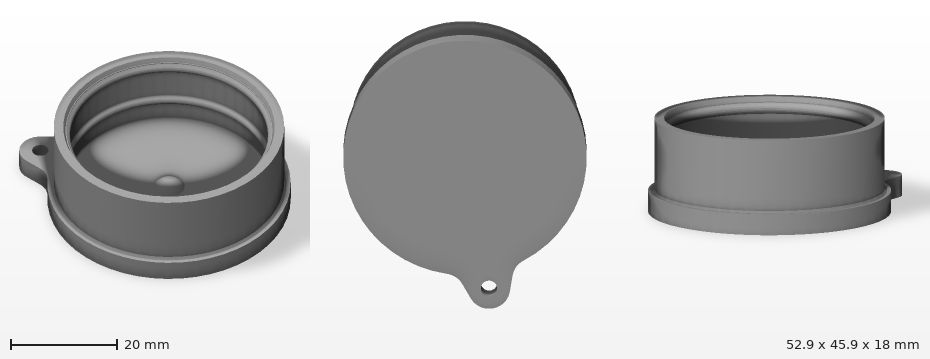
import cadquery as cq
import math

overall_length = 52.9
overall_height = 18.0

flange_radius = 22.95
flange_height = 4.0
lug_radius = 3.95
lug_hole_radius = 1.55
lug_flank_angle = 19.5
lug_blend_radius = 3.95
lug_x = flange_radius - overall_length + lug_radius

wall_outer_radius = 21.75
wall_foot_chamfer = 0.4
bore_radius = 19.35
floor_z = 3.1
floor_fillet = 0.4

mouth_radius = 19.95
mouth_taper_radius = 19.55
mouth_taper_depth = 0.9
bead_radius = 18.7
bead_nose_height = 0.75
bead_nose_fillet = 0.55
bead_root_fillet = 0.35
bead_depth = bore_radius - bead_radius
lower_bead_z = 7.95
upper_bead_top = overall_height - mouth_taper_depth
upper_bead_z = upper_bead_top - (mouth_taper_radius - bead_radius) - bead_nose_height / 2

dome_base_radius = 2.95
dome_height = 1.25


def make_flange_and_lug():
    angle = math.radians(lug_flank_angle)
    tangent_x = lug_x - lug_radius * math.sin(angle)
    tangent_y = lug_radius * math.cos(angle)
    root_y = tangent_y - tangent_x * math.tan(angle)
    disc = cq.Workplane("XY").circle(flange_radius).extrude(flange_height)
    lug = (
        cq.Workplane("XY")
        .moveTo(0, -root_y)
        .lineTo(tangent_x, -tangent_y)
        .threePointArc((lug_x - lug_radius, 0), (tangent_x, tangent_y))
        .lineTo(0, root_y)
        .close()
        .extrude(flange_height)
    )
    corners = cq.selectors.BoxSelector(
        (lug_x + lug_radius / 2, -flange_radius / 2, 0),
        (-flange_radius / 2, flange_radius / 2, flange_height),
    )
    body = disc.union(lug).edges("|Z").edges(corners).fillet(lug_blend_radius)
    hole = cq.Workplane("XY").center(lug_x, 0).circle(lug_hole_radius).extrude(flange_height)
    return body.cut(hole)


def make_wall():
    foot_radius = wall_outer_radius + wall_foot_chamfer
    return (
        cq.Workplane("XZ")
        .moveTo(0, 0)
        .lineTo(foot_radius, 0)
        .lineTo(foot_radius, flange_height)
        .lineTo(wall_outer_radius, flange_height + wall_foot_chamfer)
        .lineTo(wall_outer_radius, overall_height)
        .lineTo(0, overall_height)
        .close()
        .revolve(360, (0, 0, 0), (0, 1, 0))
    )


def make_cavity():
    """Bore with a filleted floor and a tapered mouth; the beads are added later."""
    bore = (
        cq.Workplane("XY", origin=(0, 0, floor_z))
        .circle(bore_radius)
        .extrude(overall_height - floor_z)
        .faces("<Z")
        .edges()
        .fillet(floor_fillet)
    )
    mouth = (
        cq.Workplane("XZ")
        .moveTo(0, upper_bead_top)
        .lineTo(mouth_taper_radius, upper_bead_top)
        .lineTo(mouth_radius, overall_height)
        .lineTo(0, overall_height)
        .close()
        .revolve(360, (0, 0, 0), (0, 1, 0))
    )
    return bore.union(mouth)


def make_bead(mid_z, top_radius):
    """Ring with 45 degree flanks; the upper flank runs out to top_radius."""
    root_radius = (bore_radius + wall_outer_radius) / 2
    nose_top = mid_z + bead_nose_height / 2
    nose_bottom = mid_z - bead_nose_height / 2
    top_z = nose_top + top_radius - bead_radius
    bottom_z = nose_bottom - bead_depth
    return (
        cq.Workplane("XZ")
        .moveTo(root_radius, bottom_z)
        .lineTo(bore_radius, bottom_z)
        .lineTo(bead_radius, nose_bottom)
        .lineTo(bead_radius, nose_top)
        .lineTo(top_radius, top_z)
        .lineTo(root_radius, top_z)
        .close()
        .revolve(360, (0, 0, 0), (0, 1, 0))
        .edges(cq.selectors.RadiusNthSelector(0))
        .fillet(bead_nose_fillet)
    )


def make_dome():
    sphere_radius = (dome_base_radius**2 + dome_height**2) / (2 * dome_height)
    slope = math.asin(dome_base_radius / sphere_radius) / 2
    top_z = floor_z + dome_height
    middle = (sphere_radius * math.sin(slope), top_z - sphere_radius * (1 - math.cos(slope)))
    return (
        cq.Workplane("XZ")
        .moveTo(0, floor_z / 2)
        .lineTo(dome_base_radius, floor_z / 2)
        .lineTo(dome_base_radius, floor_z)
        .threePointArc(middle, (0, top_z))
        .close()
        .revolve(360, (0, 0, 0), (0, 1, 0))
    )


def round_bead_root(body, root_z):
    """Round the circular corner where a bead flank meets the bore at height root_z."""
    reach = 0.05
    root = cq.selectors.BoxSelector((-reach, -reach, root_z - reach), (reach, reach, root_z + reach))
    return body.edges(root).fillet(bead_root_fillet)


result = make_flange_and_lug().union(make_wall()).cut(make_cavity())
for bead_z, flank_radius in ((lower_bead_z, bore_radius), (upper_bead_z, mouth_taper_radius)):
    result = result.union(make_bead(bead_z, flank_radius))

result = round_bead_root(result, lower_bead_z + bead_nose_height / 2 + bead_depth)
result = result.union(make_dome())